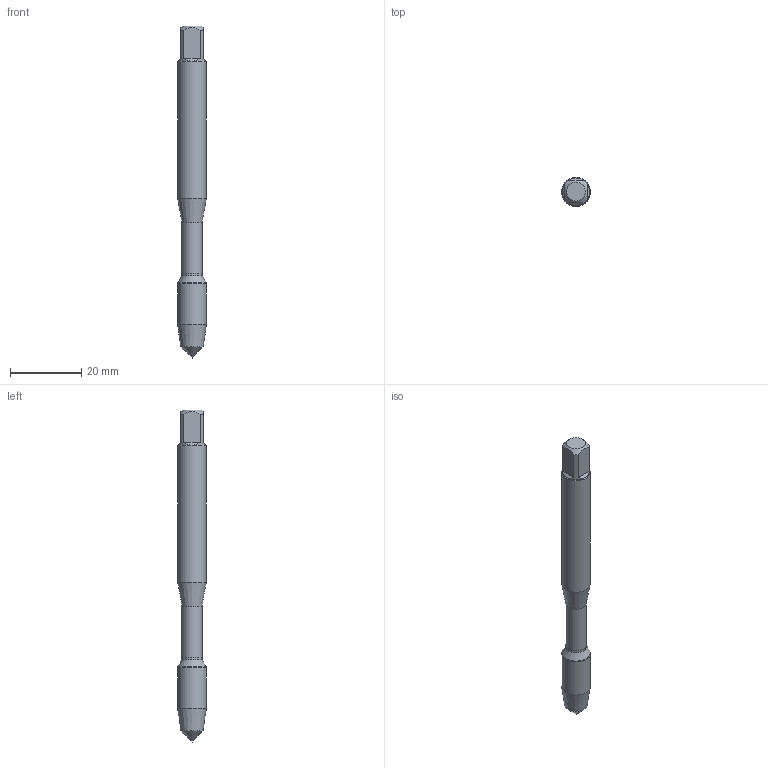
import cadquery as cq
import math

overall_length = 92.99

shank_diameter = 8.0
neck_diameter = 5.65
shank_bottom_z = 44.7
neck_top_z = 38.0

drive_length = 10.0
drive_width = 6.2
drive_corner_diameter = 7.68
drive_end_chamfer = 1.2

thread_diameter = 8.05
head_top_z = 23.7
head_collar_length = 0.6
head_shoulder_angle = 30
head_land_length = 0.3
thread_bottom_z = 9.4
lead_diameter = 6.3
tip_height = lead_diameter / 2

shank_radius = shank_diameter / 2
neck_radius = neck_diameter / 2
drive_corner_radius = drive_corner_diameter / 2
drive_bottom_z = overall_length - drive_length


def drive_flat_cutter():
    """Removes one side of the drive; its lower end ramps out at 45 degrees."""
    flat_distance = drive_width / 2
    ramp = shank_radius - flat_distance
    outer_distance = shank_radius + ramp
    return (
        cq.Workplane("XZ")
        .moveTo(flat_distance, overall_length)
        .lineTo(flat_distance, drive_bottom_z + ramp)
        .lineTo(shank_radius, drive_bottom_z)
        .lineTo(outer_distance, drive_bottom_z)
        .lineTo(outer_distance, overall_length)
        .close()
        .extrude(shank_radius, both=True)
    )


def make_shank():
    """Neck, taper, cylindrical shank and square drive in one turned and milled piece."""
    shoulder_chamfer = shank_radius - drive_corner_radius
    body = (
        cq.Workplane("XZ")
        .moveTo(0, head_top_z)
        .lineTo(neck_radius, head_top_z)
        .lineTo(neck_radius, neck_top_z)
        .lineTo(shank_radius, shank_bottom_z)
        .lineTo(shank_radius, drive_bottom_z)
        .lineTo(drive_corner_radius, drive_bottom_z + shoulder_chamfer)
        .lineTo(drive_corner_radius, overall_length - drive_end_chamfer)
        .lineTo(drive_corner_radius - drive_end_chamfer, overall_length)
        .lineTo(0, overall_length)
        .close()
        .revolve(360, (0, 0, 0), (0, 1, 0))
    )
    for side in range(4):
        body = body.cut(drive_flat_cutter().rotate((0, 0, 0), (0, 0, 1), 90 * side))
    return body


def make_threaded_head():
    """Neck collar, conical shoulder, short land, slightly larger thread cylinder, lead and tip."""
    thread_radius = thread_diameter / 2
    shoulder_top_z = head_top_z - head_collar_length
    shoulder_height = (shank_radius - neck_radius) / math.tan(math.radians(head_shoulder_angle))
    shoulder_bottom_z = shoulder_top_z - shoulder_height
    thread_top_z = shoulder_bottom_z - head_land_length
    return (
        cq.Workplane("XZ")
        .moveTo(0, 0)
        .lineTo(lead_diameter / 2, tip_height)
        .lineTo(thread_radius, thread_bottom_z)
        .lineTo(thread_radius, thread_top_z)
        .lineTo(shank_radius, thread_top_z)
        .lineTo(shank_radius, shoulder_bottom_z)
        .lineTo(neck_radius, shoulder_top_z)
        .lineTo(neck_radius, head_top_z)
        .lineTo(0, head_top_z)
        .close()
        .revolve(360, (0, 0, 0), (0, 1, 0))
    )


shank = make_shank()
threaded_head = make_threaded_head()

result = cq.Compound.makeCompound([shank.val(), threaded_head.val()])